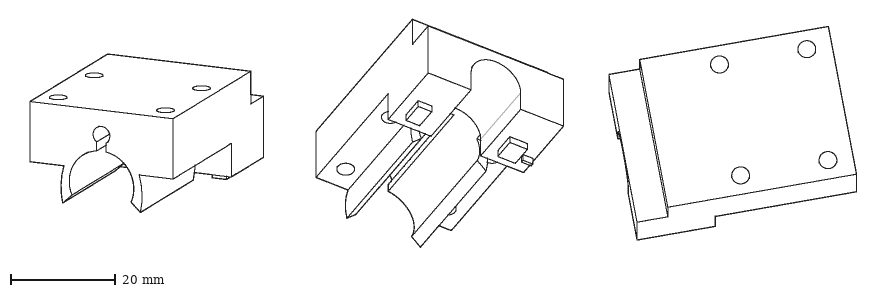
import cadquery as cq


width = 30.0
length = 42.75
top_z = 14.9
slab_thickness = 12.0
block_height = 18.7
block_length = 15.25
ledge_length = 6.0
ledge_drop = 6.5

bore_radius = 6.75
arch_radius = 5.5
arch_center_z = 0.5
keyhole_radius = 1.75
keyhole_center_z = 9.9
keyhole_neck_width = 2.0

jaw_length = 25.0
jaw_root_x = 7.9
jaw_bulge_x = 8.5
jaw_bulge_z = -1.3
jaw_outer_tip_x = 8.15
jaw_drop = 7.45
jaw_inner_tip_z = -2.7

hole_diameter = 3.4
hole_x = 11.25
hole_front_y = 4.9
hole_pitch_y = 17.0

pad_height = 1.5
pad_length = 4.6
pad_front_y = 30.4
pad_spans_x = [(-11.5, -7.6), (9.7, 12.7)]
bar_length = 0.6
bar_front_y = 31.3
bar_span_x = (-14.5, -12.3)

slab_bottom_z = top_z - slab_thickness
block_bottom_z = top_z - block_height
block_front_y = length - block_length
jaw_inner_tip_x = (bore_radius**2 - jaw_inner_tip_z**2) ** 0.5


def extrude_rearward(outline, start_y, depth):
    """Extrude a closed XZ outline from start_y toward the rear."""
    return outline.extrude(-depth).translate((0, start_y, 0))


def body():
    """Stepped side profile: slab, deep rear block and lowered rear ledge."""
    side_outline = (
        cq.Workplane("YZ")
        .moveTo(0, slab_bottom_z)
        .lineTo(block_front_y, slab_bottom_z)
        .lineTo(block_front_y, block_bottom_z)
        .lineTo(length, block_bottom_z)
        .lineTo(length, top_z - ledge_drop)
        .lineTo(length - ledge_length, top_z - ledge_drop)
        .lineTo(length - ledge_length, top_z)
        .lineTo(0, top_z)
        .close()
    )
    return side_outline.extrude(width / 2, both=True)


def jaw():
    """Right-hand jaw below the slab; its inner side is left for the bore to cut."""
    outline = (
        cq.Workplane("XZ")
        .moveTo(0, slab_bottom_z)
        .lineTo(jaw_root_x, slab_bottom_z)
        .threePointArc(
            (jaw_bulge_x, jaw_bulge_z),
            (jaw_outer_tip_x, slab_bottom_z - jaw_drop),
        )
        .lineTo(jaw_inner_tip_x, jaw_inner_tip_z)
        .lineTo(0, jaw_inner_tip_z)
        .close()
    )
    return extrude_rearward(outline, 0, jaw_length)


def bore():
    """Round channel from the front face to the rear block."""
    return extrude_rearward(cq.Workplane("XZ").circle(bore_radius), 0, block_front_y)


def keyhole():
    """Round relief joined to the bore by a narrow neck, as long as the jaws."""
    relief = cq.Workplane("XZ").center(0, keyhole_center_z).circle(keyhole_radius)
    neck = (
        cq.Workplane("XZ")
        .center(0, keyhole_center_z / 2)
        .rect(keyhole_neck_width, keyhole_center_z)
    )
    relief_cut = extrude_rearward(relief, 0, jaw_length)
    return relief_cut.union(extrude_rearward(neck, 0, jaw_length))


def rear_arch():
    """Arched passage through the rear block, open at the bottom."""
    outline = (
        cq.Workplane("XZ")
        .moveTo(-arch_radius, block_bottom_z)
        .lineTo(-arch_radius, arch_center_z)
        .threePointArc((0, arch_center_z + arch_radius), (arch_radius, arch_center_z))
        .lineTo(arch_radius, block_bottom_z)
        .close()
    )
    return extrude_rearward(outline, block_front_y, block_length)


def screw_holes():
    """Four vertical holes through the slab."""
    centers = [(x, hole_front_y + row * hole_pitch_y) for x in (-hole_x, hole_x) for row in (0, 1)]
    return (
        cq.Workplane("XY")
        .workplane(offset=slab_bottom_z)
        .pushPoints(centers)
        .circle(hole_diameter / 2)
        .extrude(slab_thickness)
    )


def pad(span_x, front_y, length_y):
    """Rectangular pad standing down from the rear block."""
    left_x, right_x = span_x
    size = (right_x - left_x, length_y, pad_height)
    corner = (left_x, front_y, block_bottom_z - pad_height)
    return cq.Workplane("XY").box(*size, centered=False).translate(corner)


right_jaw = jaw()
left_jaw = right_jaw.mirror("YZ")

result = body().union(right_jaw).union(left_jaw)
result = result.cut(bore()).cut(keyhole()).cut(rear_arch()).cut(screw_holes())
for pad_span_x in pad_spans_x:
    result = result.union(pad(pad_span_x, pad_front_y, pad_length))
result = result.union(pad(bar_span_x, bar_front_y, bar_length))